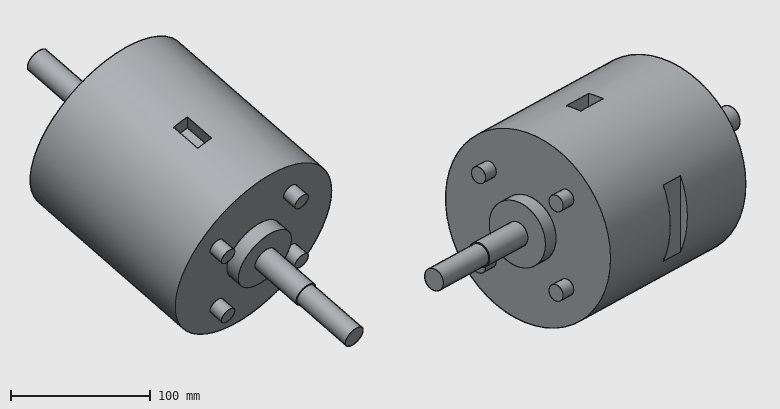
import cadquery as cq

total_length = 334.3
body_start = 75.0
body_length = 153.0
boss_length = 12.0
journal_length = 51.0
body_end = body_start + body_length

body_diameter = 152.5
boss_diameter = 51.8
shaft_diameter = 19.5
journal_diameter = 17.5

pin_diameter = 13.0
pin_offset = 35.8

pocket_start = 151.0
pocket_length = 25.5
pocket_width = 13.5
pocket_depth = 13.5

slot_start = 141.0
slot_width = 19.5
slot_depth = 6.5


def cylinder_along_x(start, length, diameter, y=0, z=0):
    """Cylinder parallel to X, starting at the given station."""
    return cq.Workplane("YZ", origin=(start, y, z)).circle(diameter / 2).extrude(length)


def rotor_body():
    """Stepped shaft, drum and boss on one axis."""
    journal_start = total_length - journal_length
    shaft = cylinder_along_x(0, journal_start, shaft_diameter)
    journal = cylinder_along_x(journal_start, journal_length, journal_diameter)
    drum = cylinder_along_x(body_start, body_length, body_diameter)
    boss = cylinder_along_x(body_end, boss_length, boss_diameter)
    return drum.union(boss).union(shaft).union(journal)


def top_pocket():
    """Flat-bottomed pocket, open at the top of the drum."""
    floor = body_diameter / 2 - pocket_depth
    return cq.Workplane("XY").box(
        pocket_length, pocket_width, body_diameter, centered=(False, True, False)
    ).translate((pocket_start, 0, floor))


def back_slot():
    """Slot running right across the +Y side of the drum."""
    floor = body_diameter / 2 - slot_depth
    return cq.Workplane("XY").box(
        slot_width, body_diameter, body_diameter, centered=(False, False, True)
    ).translate((slot_start, floor, 0))


result = rotor_body()
for y_side in (-1, 1):
    for z_side in (-1, 1):
        pin = cylinder_along_x(
            body_end, boss_length, pin_diameter, y_side * pin_offset, z_side * pin_offset
        )
        result = result.union(pin)
result = result.cut(top_pocket()).cut(back_slot())